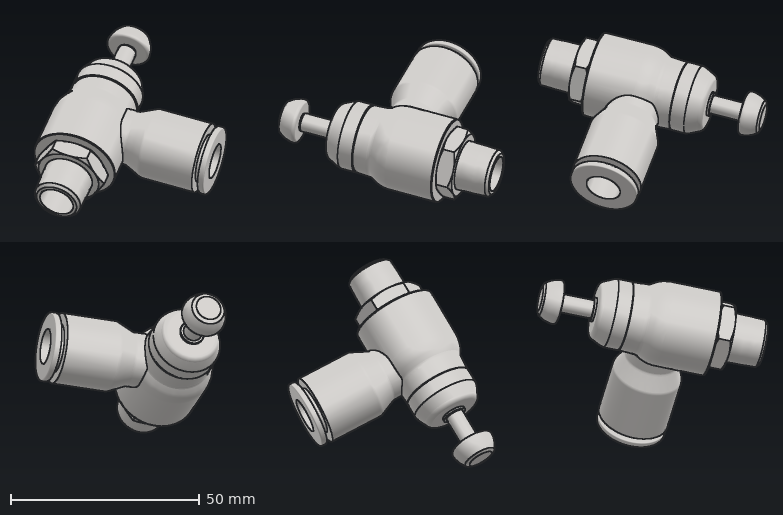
import cadquery as cq
import math


THREAD_END_Y = -27.5
THREAD_CHAMFER = 0.8
THREAD_TIP_RADIUS = 6.45
THREAD_GAUGE_RADIUS = 6.6
THREAD_ROOT_RADIUS = 6.7
THREAD_GAUGE_Y = -23.0

HEX_FLATS = 17.0
HEX_CORNERS = HEX_FLATS / math.cos(math.radians(30))
HEX_BOTTOM_Y = -18.1
HEX_CHAMFER_ANGLE = 30.0

BODY_RADIUS = 11.4
BODY_BOTTOM_Y = -13.5
BODY_EDGE_HEIGHT = 0.25
BODY_EDGE_WIDTH = 0.1
SHOULDER_BOTTOM_Y = 0.0
SHOULDER_TOP_Y = 5.0
SHOULDER_TOP_RADIUS = 9.75
SHOULDER_HEIGHT = SHOULDER_TOP_Y - SHOULDER_BOTTOM_Y
SHOULDER_DEPTH = BODY_RADIUS - SHOULDER_TOP_RADIUS
SHOULDER_ARC = (SHOULDER_HEIGHT**2 + SHOULDER_DEPTH**2) / (2 * SHOULDER_DEPTH)
COLLAR_BOTTOM_Y = 6.2
COLLAR_BOTTOM_RADIUS = 9.5
COLLAR_TOP_Y = 10.1
COLLAR_TOP_RADIUS = 9.3
COLLAR_ROUND = 0.5
COLLAR_BLEND = 2.0

GROOVE_WIDTH = 0.15
GROOVE_RADIUS = 9.0
CAP_RADIUS = 9.32
CAP_BOTTOM_Y = COLLAR_TOP_Y + GROOVE_WIDTH
CAP_CROWN_Y = 14.3
CAP_CROWN_ARC = 12.0
CAP_EDGE_Y = 17.4
CAP_EDGE_RADIUS = 8.0
CAP_EDGE_ARC = 1.8
CAP_TOP_Y = 18.7
CAP_TOP_RADIUS = 6.6

STEM_COLLAR_RADIUS = 3.25
STEM_COLLAR_TOP_Y = 19.3
STEM_RADIUS = 2.5
STEM_TOP_Y = 27.75
STEM_NECK_RADIUS = 2.35
KNOB_BOTTOM_Y = 28.1
KNOB_BOTTOM_RADIUS = 5.2
KNOB_RADIUS = 6.0
KNOB_WIDEST_Y = 29.0
KNOB_LOWER_ARC = 0.9
KNOB_SIDE_ARC = 7.0
KNOB_EDGE_Y = 33.0
KNOB_EDGE_RADIUS = 4.5
KNOB_EDGE_ARC = 4.0
KNOB_TOP_RADIUS = 3.4
KNOB_TOP_Y = 33.5

NECK_RADIUS = 7.3
NECK_END_X = BODY_RADIUS
CONE_START_X = 12.1
CONE_START_RADIUS = 7.5
CONE_END_X = 16.2
CONE_END_RADIUS = 9.35
CONE_BLEND = 1.8
SOCKET_RADIUS = 9.5
SOCKET_START_X = 16.95
SOCKET_END_X = 31.65
SLEEVE_RADIUS = 6.6
FLANGE_RADIUS = 9.3
FLANGE_START_X = 33.1
FLANGE_END_X = 34.85
FLANGE_ROUND = 0.4

BORE_RADIUS = 4.7


def spindle():
    """Thread, body, cap, stem and knob, turned about the Y axis from the knob down."""
    return (
        cq.Workplane("XY")
        .moveTo(0, KNOB_TOP_Y)
        .lineTo(KNOB_TOP_RADIUS, KNOB_TOP_Y)
        .radiusArc((KNOB_EDGE_RADIUS, KNOB_EDGE_Y), KNOB_EDGE_ARC)
        .radiusArc((KNOB_RADIUS, KNOB_WIDEST_Y), KNOB_SIDE_ARC)
        .radiusArc((KNOB_BOTTOM_RADIUS, KNOB_BOTTOM_Y), KNOB_LOWER_ARC)
        .lineTo(STEM_NECK_RADIUS, KNOB_BOTTOM_Y)
        .lineTo(STEM_RADIUS, STEM_TOP_Y)
        .lineTo(STEM_RADIUS, STEM_COLLAR_TOP_Y)
        .lineTo(STEM_COLLAR_RADIUS, STEM_COLLAR_TOP_Y)
        .lineTo(STEM_COLLAR_RADIUS, CAP_TOP_Y)
        .lineTo(CAP_TOP_RADIUS, CAP_TOP_Y)
        .radiusArc((CAP_EDGE_RADIUS, CAP_EDGE_Y), CAP_EDGE_ARC)
        .radiusArc((CAP_RADIUS, CAP_CROWN_Y), CAP_CROWN_ARC)
        .lineTo(CAP_RADIUS, CAP_BOTTOM_Y)
        .lineTo(GROOVE_RADIUS, CAP_BOTTOM_Y)
        .lineTo(GROOVE_RADIUS, COLLAR_TOP_Y)
        .radiusArc((COLLAR_TOP_RADIUS, COLLAR_TOP_Y - COLLAR_ROUND), COLLAR_ROUND)
        .lineTo(COLLAR_BOTTOM_RADIUS, COLLAR_BOTTOM_Y)
        .radiusArc((SHOULDER_TOP_RADIUS, SHOULDER_TOP_Y), -COLLAR_BLEND)
        .radiusArc((BODY_RADIUS, SHOULDER_BOTTOM_Y), SHOULDER_ARC)
        .lineTo(BODY_RADIUS, BODY_BOTTOM_Y + BODY_EDGE_HEIGHT)
        .lineTo(BODY_RADIUS - BODY_EDGE_WIDTH, BODY_BOTTOM_Y)
        .lineTo(THREAD_ROOT_RADIUS, BODY_BOTTOM_Y)
        .lineTo(THREAD_ROOT_RADIUS, HEX_BOTTOM_Y)
        .lineTo(THREAD_GAUGE_RADIUS, THREAD_GAUGE_Y)
        .lineTo(THREAD_TIP_RADIUS, THREAD_END_Y + THREAD_CHAMFER)
        .lineTo(THREAD_TIP_RADIUS - THREAD_CHAMFER, THREAD_END_Y)
        .lineTo(0, THREAD_END_Y)
        .close()
        .revolve(360, (0, 0, 0), (0, 1, 0))
    )


def hexagon():
    """Hexagon with corners on the X axis, its corners cut by a cone at both ends."""
    height = BODY_BOTTOM_Y - HEX_BOTTOM_Y
    prism = (
        cq.Workplane("XZ", origin=(0, BODY_BOTTOM_Y, 0))
        .polygon(6, HEX_CORNERS)
        .extrude(height)
    )
    face_radius = HEX_FLATS / 2
    corner_radius = HEX_CORNERS / 2
    chamfer_height = (corner_radius - face_radius) * math.tan(math.radians(HEX_CHAMFER_ANGLE))
    envelope = (
        cq.Workplane("XY")
        .moveTo(0, BODY_BOTTOM_Y)
        .lineTo(face_radius, BODY_BOTTOM_Y)
        .lineTo(corner_radius, BODY_BOTTOM_Y - chamfer_height)
        .lineTo(corner_radius, HEX_BOTTOM_Y + chamfer_height)
        .lineTo(face_radius, HEX_BOTTOM_Y)
        .lineTo(0, HEX_BOTTOM_Y)
        .close()
        .revolve(360, (0, 0, 0), (0, 1, 0))
    )
    return prism.intersect(envelope)


def tube_arm():
    """Neck, cone, socket and release flange, turned about the X axis."""
    return (
        cq.Workplane("XY")
        .lineTo(0, NECK_RADIUS)
        .lineTo(NECK_END_X, NECK_RADIUS)
        .radiusArc((CONE_START_X, CONE_START_RADIUS), -CONE_BLEND)
        .lineTo(CONE_END_X, CONE_END_RADIUS)
        .radiusArc((SOCKET_START_X, SOCKET_RADIUS), CONE_BLEND)
        .lineTo(SOCKET_END_X, SOCKET_RADIUS)
        .lineTo(SOCKET_END_X, SLEEVE_RADIUS)
        .lineTo(FLANGE_START_X, SLEEVE_RADIUS)
        .lineTo(FLANGE_START_X, FLANGE_RADIUS - FLANGE_ROUND)
        .radiusArc((FLANGE_START_X + FLANGE_ROUND, FLANGE_RADIUS), FLANGE_ROUND)
        .lineTo(FLANGE_END_X - FLANGE_ROUND, FLANGE_RADIUS)
        .radiusArc((FLANGE_END_X, FLANGE_RADIUS - FLANGE_ROUND), FLANGE_ROUND)
        .lineTo(FLANGE_END_X, 0)
        .close()
        .revolve(360, (0, 0, 0), (1, 0, 0))
    )


def flow_passage():
    """Bore from the thread to the origin, a ball-shaped corner, and a bore out of the arm."""
    thread_bore = cq.Workplane("XZ").circle(BORE_RADIUS).extrude(-THREAD_END_Y)
    arm_bore = cq.Workplane("YZ").circle(BORE_RADIUS).extrude(FLANGE_END_X)
    corner = cq.Workplane("XY").sphere(BORE_RADIUS)
    return thread_bore.union(arm_bore).union(corner)


result = spindle().union(hexagon()).union(tube_arm()).cut(flow_passage())